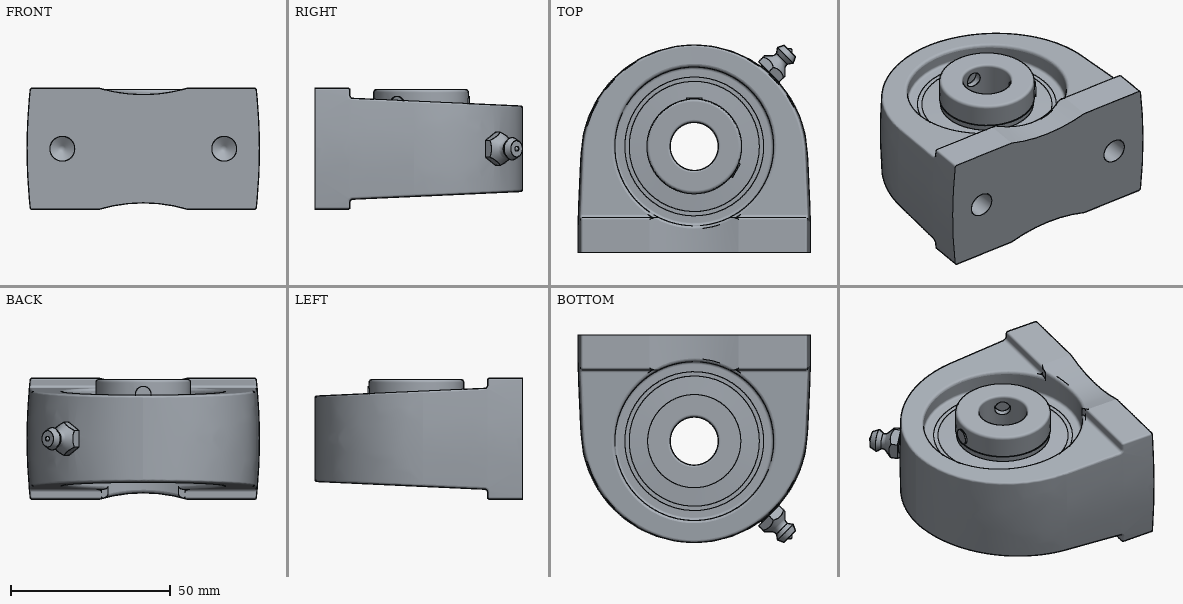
import cadquery as cq
import math

FLANGE_WIDTH = 72.85
FLANGE_HEIGHT = 38.0
FLANGE_DEPTH = 11.0
SIDE_BULGE_RADIUS = 174.85
SCALLOP_CHORD = 27.8
SCALLOP_DEPTH = 2.05
BOLT_SPACING = 50.7
BOLT_HOLE_DIAMETER = 7.8
BOLT_HOLE_DEPTH = 11.65
DRILL_POINT_ANGLE = 118.0

HOUSING_LENGTH = 65.1
CROWN_RADIUS = 35.55
CROWN_CENTRE_Y = HOUSING_LENGTH - CROWN_RADIUS
BODY_FRONT_HALF_HEIGHT = 16.4
BODY_CROWN_HALF_HEIGHT = 13.4
EDGE_ROUND = 0.7
ROOT_ROUND = 0.95

BEARING_Y = 33.3
RECESS_DIAMETER = 49.75
RECESS_EDGE_ROUND = 0.95
RECESS_FLOOR_ROUND = 0.9
SEAT_DIAMETER = 47.05

OUTER_RING_WIDTH = 17.9
RING_INNER_DIAMETER = 40.0

INNER_RING_TOP = 18.6
INNER_RING_BOTTOM = -12.7
SHOULDER_Z = 11.2
LAND_DIAMETER = 29.2
LOCKING_END_DIAMETER = 29.7
SHAFT_BORE_DIAMETER = 15.0
LOCKING_EDGE_ROUND = 0.95
SHAFT_EDGE_ROUND = 0.8

SEAL_DIAMETER = 40.8
SEAL_THICKNESS = 1.1
SEAL_CONE_RISE = 0.4

SET_SCREW_DIAMETER = 4.9
SET_SCREW_Z = 14.0
SET_SCREW_INNER_RADIUS = 9.5
SET_SCREW_OUTER_RADIUS = 15.2
SET_SCREW_ANGLES = (90.0, -30.0)

NIPPLE_ANGLE = 45.0
NIPPLE_SHANK_DIAMETER = 6.0
NIPPLE_SHANK_START = 27.7
NIPPLE_HEX_START = 33.0
NIPPLE_HEX_FLATS = 9.0
NIPPLE_NECK_DIAMETER = 4.9
NIPPLE_NECK_START = 37.8
NIPPLE_NECK_END = 38.8
NIPPLE_NECK_ROUND = 1.3
NIPPLE_HEAD_DIAMETER = 7.0
NIPPLE_HEAD_MIDDLE = 40.35
NIPPLE_HEAD_END = 42.3
NIPPLE_FACE_DIAMETER = 5.1
NIPPLE_BALL_DIAMETER = 1.5

TOLERANCE = 0.01


def side_sag(z):
    """Amount by which the bulged side lies inside its widest line at height z."""
    return SIDE_BULGE_RADIUS - math.sqrt(SIDE_BULGE_RADIUS**2 - z**2)


def bearing_plane(z):
    """Work plane square to the bearing axis at height z."""
    return cq.Workplane("XY", origin=(0, BEARING_Y, z))


def radial_plane(angle, distance, z):
    """Work plane facing away from the bearing axis at the given angle, distance and height."""
    outward = cq.Vector(math.cos(math.radians(angle)), math.sin(math.radians(angle)), 0)
    origin = cq.Vector(0, BEARING_Y, z) + outward * distance
    return cq.Workplane(cq.Plane(origin=origin, xDir=(0, 0, 1), normal=outward))


def revolve_about_bearing(points):
    """Solid of revolution about the bearing axis from (radius, z) points."""
    return (
        cq.Workplane("XZ", origin=(0, BEARING_Y, 0))
        .polyline(points)
        .close()
        .revolve(360, (0, 0, 0), (0, 1, 0))
    )


def body_outline(z):
    """Outline of flange and arched body at height z: both halves move inwards by the side sag."""
    sag = side_sag(z)
    half_width = FLANGE_WIDTH / 2
    to_centre = CROWN_CENTRE_Y - FLANGE_DEPTH
    corner_distance = math.hypot(half_width, to_centre)
    start_angle = math.acos(CROWN_RADIUS / corner_distance) - math.atan2(to_centre, half_width)
    end_angle = math.acos(sag / CROWN_RADIUS)
    middle_angle = (start_angle + end_angle) / 2

    def arc_point(angle, side):
        x = CROWN_RADIUS * math.cos(angle) - sag
        return side * x, CROWN_CENTRE_Y + CROWN_RADIUS * math.sin(angle)

    crown = (0, CROWN_CENTRE_Y + CROWN_RADIUS * math.sin(end_angle))
    return (
        cq.Workplane("XY", origin=(0, 0, z))
        .moveTo(sag - half_width, 0)
        .lineTo(half_width - sag, 0)
        .lineTo(half_width - sag, FLANGE_DEPTH)
        .lineTo(*arc_point(start_angle, 1))
        .threePointArc(arc_point(middle_angle, 1), crown)
        .threePointArc(arc_point(middle_angle, -1), arc_point(start_angle, -1))
        .lineTo(sag - half_width, FLANGE_DEPTH)
        .close()
        .wire()
        .val()
    )


def sloping_face_z(y):
    """Height of the sloping top face of the body at distance y from the mounting face."""
    drop = BODY_FRONT_HALF_HEIGHT - BODY_CROWN_HALF_HEIGHT
    return BODY_FRONT_HALF_HEIGHT - drop * y / HOUSING_LENGTH


def make_block():
    """Sharp-edged flange and body: bulged arch cut to the stepped side profile."""
    half_height = FLANGE_HEIGHT / 2
    arch = cq.Workplane(cq.Solid.makeLoft([body_outline(z) for z in (-half_height, 0, half_height)]))
    far_y = HOUSING_LENGTH + EDGE_ROUND
    upper_profile = [
        (0, half_height),
        (FLANGE_DEPTH, half_height),
        (FLANGE_DEPTH, sloping_face_z(FLANGE_DEPTH)),
        (far_y, sloping_face_z(far_y)),
    ]
    lower_profile = [(y, -z) for y, z in reversed(upper_profile)]
    profile = (
        cq.Workplane("YZ")
        .polyline(upper_profile + lower_profile)
        .close()
        .extrude(FLANGE_WIDTH, both=True)
    )
    return arch.intersect(profile)


def round_block(block):
    """Coves where the body meets the flange, then all outer edges except the mounting face's."""
    def on_flange_back(point):
        return abs(point.y - FLANGE_DEPTH) < TOLERANCE

    def on_sloping_face(point):
        on_slope = abs(abs(point.z) - sloping_face_z(point.y)) < TOLERANCE
        return on_slope and point.y > FLANGE_DEPTH - TOLERANCE

    def on_flange_top(point):
        return abs(abs(point.z) - FLANGE_HEIGHT / 2) < TOLERANCE

    def is_root(edge):
        ends = (edge.startPoint(), edge.endPoint())
        return all(on_flange_back(p) and on_sloping_face(p) for p in ends)

    def is_outer(edge):
        ends = (edge.startPoint(), edge.endPoint())
        on_mounting_face = all(p.y < TOLERANCE for p in ends)
        return all(map(on_sloping_face, ends)) or (
            all(map(on_flange_top, ends)) and not on_mounting_face
        )

    roots = [edge for edge in block.edges().vals() if is_root(edge)]
    rooted = block.newObject(roots).fillet(ROOT_ROUND)
    outer_edges = [edge for edge in rooted.edges().vals() if is_outer(edge)]
    return rooted.newObject(outer_edges).fillet(EDGE_ROUND)


def cut_scallops(block):
    """Shallow arched relief across the top and the bottom of the flange."""
    radius = (SCALLOP_CHORD**2 / 4 + SCALLOP_DEPTH**2) / (2 * SCALLOP_DEPTH)
    for side in (1, -1):
        centre_z = side * (FLANGE_HEIGHT / 2 - SCALLOP_DEPTH + radius)
        scallop = cq.Workplane("XZ").center(0, centre_z).circle(radius).extrude(-FLANGE_DEPTH)
        block = block.cut(scallop)
    return block


def bearing_cylinder(radius):
    """Cylinder about the bearing axis, taller than the housing."""
    return bearing_plane(-FLANGE_HEIGHT).circle(radius).extrude(2 * FLANGE_HEIGHT)


def make_bolt_hole(x):
    """Blind drilled hole with a conical end, entering from the mounting face."""
    radius = BOLT_HOLE_DIAMETER / 2
    point_length = radius / math.tan(math.radians(DRILL_POINT_ANGLE / 2))
    return (
        cq.Workplane("XY", origin=(x, 0, 0))
        .polyline([
            (0, 0),
            (radius, 0),
            (radius, BOLT_HOLE_DEPTH),
            (0, BOLT_HOLE_DEPTH + point_length),
        ])
        .close()
        .revolve(360, (0, 0, 0), (0, 1, 0))
    )


def make_recess_rims(block):
    """Ring of housing material around the recesses, with rounded rims."""
    radius = RECESS_DIAMETER / 2
    bored = block.cut(bearing_cylinder(radius))

    def lies_on_wall(edge):
        samples = [edge.positionAt(fraction) for fraction in (0, 0.4, 1)]
        return all(abs(math.hypot(p.x, p.y - BEARING_Y) - radius) < TOLERANCE for p in samples)

    rims = [edge for edge in bored.edges("not |Z").vals() if lies_on_wall(edge)]
    rounded = bored.newObject(rims).fillet(RECESS_EDGE_ROUND)
    return rounded.intersect(bearing_cylinder(radius + RECESS_EDGE_ROUND))


def make_seat_sphere():
    """Sphere shared by the housing seat and the outside of the outer ring."""
    return bearing_plane(0).sphere(SEAT_DIAMETER / 2)


def make_seat_web():
    """Web between the two recesses, coved into their walls and hollowed by the spherical seat."""
    half_width = OUTER_RING_WIDTH / 2
    wall_radius = RECESS_DIAMETER / 2
    outer_radius = wall_radius + RECESS_EDGE_ROUND
    filler = bearing_plane(-half_width - RECESS_FLOOR_ROUND).circle(outer_radius).extrude(
        OUTER_RING_WIDTH + 2 * RECESS_FLOOR_ROUND
    )
    for side in (1, -1):
        recess = (
            bearing_plane(side * half_width)
            .circle(wall_radius)
            .extrude(side * FLANGE_HEIGHT)
            .faces("<Z" if side > 0 else ">Z")
            .edges()
            .fillet(RECESS_FLOOR_ROUND)
        )
        filler = filler.cut(recess)
    return filler.cut(make_seat_sphere())


def make_housing():
    """Pillow block with a spherical bearing seat, bolt holes and a hole for the grease nipple."""
    block = make_block()
    surround = cut_scallops(round_block(block)).cut(
        bearing_cylinder(RECESS_DIAMETER / 2 + RECESS_EDGE_ROUND)
    )
    housing = surround.union(make_recess_rims(cut_scallops(block))).union(make_seat_web())
    for x in (-BOLT_SPACING / 2, BOLT_SPACING / 2):
        housing = housing.cut(make_bolt_hole(x))
    nipple_hole = (
        radial_plane(NIPPLE_ANGLE, NIPPLE_SHANK_START, 0)
        .circle(NIPPLE_SHANK_DIAMETER / 2)
        .extrude(NIPPLE_HEX_START - NIPPLE_SHANK_START)
    )
    return housing.cut(nipple_hole)


def make_outer_ring():
    """Outer ring with a spherical outside and a pocket for a seal at each end."""
    half_width = OUTER_RING_WIDTH / 2
    pocket_z = half_width - SEAL_THICKNESS
    seal_radius = SEAL_DIAMETER / 2
    inner_radius = RING_INNER_DIAMETER / 2
    inside = revolve_about_bearing([
        (0, -half_width),
        (seal_radius, -half_width),
        (seal_radius, -pocket_z),
        (inner_radius, -pocket_z),
        (inner_radius, pocket_z),
        (seal_radius, pocket_z),
        (seal_radius, half_width),
        (0, half_width),
    ])
    slab = bearing_plane(-half_width).circle(SEAT_DIAMETER / 2).extrude(OUTER_RING_WIDTH)
    return slab.intersect(make_seat_sphere()).cut(inside)


def make_seal(side):
    """Slightly conical annular seal; side is 1 for the upper seal and -1 for the lower one."""
    outer_radius = SEAL_DIAMETER / 2
    inner_radius = LAND_DIAMETER / 2
    rim_z = OUTER_RING_WIDTH / 2
    inner_z = rim_z + SEAL_CONE_RISE
    return revolve_about_bearing([
        (outer_radius, side * rim_z),
        (outer_radius, side * (rim_z - SEAL_THICKNESS)),
        (inner_radius, side * (inner_z - SEAL_THICKNESS)),
        (inner_radius, side * inner_z),
    ])


def set_screw_blank(angle, inner_radius):
    """Cylinder of set-screw size from inner_radius out to the screw's outer end."""
    return (
        radial_plane(angle, inner_radius, SET_SCREW_Z)
        .circle(SET_SCREW_DIAMETER / 2)
        .extrude(SET_SCREW_OUTER_RADIUS - inner_radius)
    )


def make_inner_ring():
    """Inner ring whose extended locking end carries the radial set-screw holes."""
    land = (
        bearing_plane(INNER_RING_BOTTOM)
        .circle(LAND_DIAMETER / 2)
        .extrude(SHOULDER_Z - INNER_RING_BOTTOM)
    )
    locking_end = (
        bearing_plane(SHOULDER_Z)
        .circle(LOCKING_END_DIAMETER / 2)
        .extrude(INNER_RING_TOP - SHOULDER_Z)
        .faces(">Z")
        .edges()
        .fillet(LOCKING_EDGE_ROUND)
    )
    shaft_bore = (
        bearing_plane(INNER_RING_BOTTOM)
        .circle(SHAFT_BORE_DIAMETER / 2)
        .extrude(INNER_RING_TOP - INNER_RING_BOTTOM)
    )
    ring = land.union(locking_end).cut(shaft_bore)
    ring = ring.faces("<Z or >Z").edges(cq.selectors.RadiusNthSelector(0)).fillet(SHAFT_EDGE_ROUND)
    for angle in SET_SCREW_ANGLES:
        ring = ring.cut(set_screw_blank(angle, 0))
    return ring


def turn_nipple(profile):
    """Solid of revolution about the nipple axis from (radius, distance from bearing axis) points."""
    turned = (
        cq.Workplane("XY")
        .polyline(profile)
        .close()
        .revolve(360, (0, 0, 0), (0, 1, 0))
    )
    return turned.rotate((0, 0, 0), (0, 0, 1), NIPPLE_ANGLE - 90).translate((0, BEARING_Y, 0))


def make_nipple():
    """Grease nipple: shank, hexagon with a 45-degree shoulder, neck, double-cone head and ball tip."""
    neck_radius = NIPPLE_NECK_DIAMETER / 2
    shank_radius = NIPPLE_SHANK_DIAMETER / 2
    neck_root = radial_plane(NIPPLE_ANGLE, NIPPLE_NECK_START, 0).plane.origin
    corner_diameter = NIPPLE_HEX_FLATS / math.cos(math.pi / 6)
    shoulder_radius = neck_radius + NIPPLE_NECK_START - NIPPLE_HEX_START
    turned = turn_nipple([
        (0, NIPPLE_SHANK_START),
        (shank_radius, NIPPLE_SHANK_START),
        (shank_radius, NIPPLE_HEX_START),
        (shoulder_radius, NIPPLE_HEX_START),
        (neck_radius, NIPPLE_NECK_START),
        (neck_radius, NIPPLE_NECK_END),
        (NIPPLE_HEAD_DIAMETER / 2, NIPPLE_HEAD_MIDDLE),
        (NIPPLE_FACE_DIAMETER / 2, NIPPLE_HEAD_END),
        (0, NIPPLE_HEAD_END),
    ])
    turned = turned.edges(cq.NearestToPointSelector(neck_root.toTuple())).fillet(NIPPLE_NECK_ROUND)
    hexagon = (
        radial_plane(NIPPLE_ANGLE, NIPPLE_SHANK_START, 0)
        .polygon(6, corner_diameter)
        .extrude(NIPPLE_HEAD_END - NIPPLE_SHANK_START)
    )
    ball = (
        radial_plane(NIPPLE_ANGLE, NIPPLE_HEAD_END, 0)
        .sphere(NIPPLE_BALL_DIAMETER / 2)
    )
    return turned.intersect(hexagon).union(ball)


housing = make_housing()
outer_ring = make_outer_ring()
inner_ring = make_inner_ring()
seals = [make_seal(side) for side in (1, -1)]
set_screws = [set_screw_blank(angle, SET_SCREW_INNER_RADIUS) for angle in SET_SCREW_ANGLES]
nipple = make_nipple()

result = cq.Compound.makeCompound([
    housing.val(),
    outer_ring.val(),
    inner_ring.val(),
    *[seal.val() for seal in seals],
    *[screw.val() for screw in set_screws],
    nipple.val(),
])